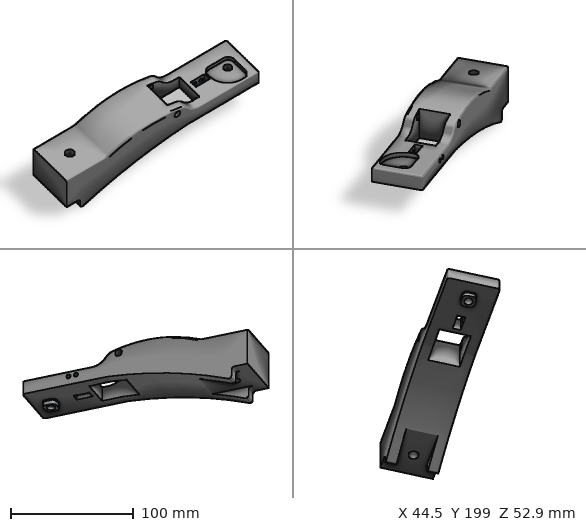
import cadquery as cq
import math

LENGTH = 199.0
WIDTH = 44.5
SHELF_TOP = 38.2
SHELF_BOTTOM = 25.5
REAR_TOP = 43.0
EDGE_ROUND = 2.0

HUMP_TOP = 53.1
HUMP_Y = 89.0
HUMP_RADIUS = 115.5
HUMP_END_ANGLE = math.radians(15.4)
SHOULDER_RADIUS = 11.0
SHELF_BLEND = 15.1
REAR_BLEND = 10.0

BELLY_START_Y = 124.4
BELLY_RADIUS = 358.2
LEG_BACK_Y = 14.1
LEG_SHARP_Z = -1.0
LEG_ROUND = 2.4
NOTCH_ROUND = 3.0
BLOCK_BOTTOM = 10.5
CHANNEL_WIDTH = 26.7
CHANNEL_END_Y = 79.6

WINDOW_WIDTH = 26.7
WINDOW_START_Y = 110.6
WINDOW_END_Y = 143.7
SLOT_WIDTH = 6.8
SLOT_START_Y = 147.9
SLOT_END_Y = 161.8

POCKET_LEFT_X = -7.5
POCKET_START_Y = 163.4
POCKET_SIDE = 27.3
POCKET_CORNER = 6.0
POCKET_LARGE_CORNER = 19.0
POCKET_DEPTH = 4.0

BOSS_Y = 183.0
BOSS_COLLAR_SIDE = 12.3
BOSS_COLLAR_HEIGHT = 1.0
BOSS_SIDE = 11.7
BOSS_CORNER = 3.8
BOSS_HEIGHT = 4.8
BOSS_HOLE = 7.2

REAR_HOLE = 8.2
REAR_HOLE_Y = 20.5
PIVOT_HOLE = 6.0
PIVOT_Y = 114.0
PIVOT_Z = 45.5
PIN_HOLE = 3.5
PIN_YS = (151.6, 158.2)
PIN_Z = 33.2
PIN_DEPTH = 29.8

TALL = 2 * HUMP_TOP


def on_circle(center, radius, angle):
    """Point on a circle, with the angle measured from +Z towards +Y."""
    return (center[0] + radius * math.sin(angle), center[1] + radius * math.cos(angle))


def round_cross_edge(body, y, z, radius):
    """Round the edge that runs across the body at the given place."""
    edge = body.edges(cq.selectors.NearestToPointSelector((0, y, z)))
    return edge.fillet(radius)


def make_body():
    hump = (HUMP_Y, HUMP_TOP - HUMP_RADIUS)

    rear_z = REAR_TOP + REAR_BLEND
    rear_reach = HUMP_RADIUS + REAR_BLEND
    rear_angle = -math.acos((rear_z - hump[1]) / rear_reach)
    rear = on_circle(hump, rear_reach, rear_angle)

    shoulder = on_circle(hump, HUMP_RADIUS - SHOULDER_RADIUS, HUMP_END_ANGLE)
    blend_z = SHELF_TOP + SHELF_BLEND
    blend_reach = SHOULDER_RADIUS + SHELF_BLEND
    slope = math.acos((blend_z - shoulder[1]) / blend_reach)
    blend = on_circle(shoulder, blend_reach, slope)

    profile = (
        cq.Workplane("YZ")
        .moveTo(0, BLOCK_BOTTOM)
        .lineTo(0, REAR_TOP)
        .lineTo(rear[0], REAR_TOP)
        .threePointArc(
            on_circle(rear, REAR_BLEND, math.pi + rear_angle / 2),
            on_circle(hump, HUMP_RADIUS, rear_angle),
        )
        .threePointArc((HUMP_Y, HUMP_TOP), on_circle(hump, HUMP_RADIUS, HUMP_END_ANGLE))
        .threePointArc(
            on_circle(shoulder, SHOULDER_RADIUS, (HUMP_END_ANGLE + slope) / 2),
            on_circle(shoulder, SHOULDER_RADIUS, slope),
        )
        .threePointArc(
            on_circle(blend, SHELF_BLEND, math.pi + slope / 2),
            (blend[0], SHELF_TOP),
        )
        .lineTo(LENGTH, SHELF_TOP)
        .lineTo(LENGTH, SHELF_BOTTOM)
        .lineTo(BELLY_START_Y, SHELF_BOTTOM)
        .radiusArc((LEG_BACK_Y, LEG_SHARP_Z), -BELLY_RADIUS)
        .lineTo(LEG_BACK_Y, BLOCK_BOTTOM)
        .close()
    )
    body = profile.extrude(WIDTH / 2, both=True)
    body = round_cross_edge(body, LEG_BACK_Y, LEG_SHARP_Z, LEG_ROUND)
    body = round_cross_edge(body, LEG_BACK_Y, BLOCK_BOTTOM, NOTCH_ROUND)

    side_edges = body.faces("<X or >X").edges().filter(
        lambda edge: edge.Center().z > SHELF_TOP - EDGE_ROUND and edge.Center().y > EDGE_ROUND
    )
    end_edges = body.faces(">Y").edges("|Z or >Z")
    return body.newObject(side_edges.add(end_edges).vals()).fillet(EDGE_ROUND)


def box(width, start_y, end_y, bottom, top):
    """Block centred on X, spanning the given ranges along Y and Z."""
    outline = cq.Workplane("XY", origin=(0, (start_y + end_y) / 2, bottom)).rect(width, end_y - start_y)
    return outline.extrude(top - bottom)


def make_pocket():
    left = POCKET_LEFT_X
    low = POCKET_START_Y
    right = left + POCKET_SIDE
    high = low + POCKET_SIDE
    pocket = (
        cq.Workplane("XY", origin=(0, 0, SHELF_TOP - POCKET_DEPTH))
        .moveTo(left + POCKET_CORNER, low)
        .lineTo(right - POCKET_LARGE_CORNER, low)
        .radiusArc((right, low + POCKET_LARGE_CORNER), -POCKET_LARGE_CORNER)
        .lineTo(right, high - POCKET_CORNER)
        .radiusArc((right - POCKET_CORNER, high), -POCKET_CORNER)
        .lineTo(left + POCKET_CORNER, high)
        .radiusArc((left, high - POCKET_CORNER), -POCKET_CORNER)
        .lineTo(left, low + POCKET_CORNER)
        .radiusArc((left + POCKET_CORNER, low), -POCKET_CORNER)
        .close()
    )
    return pocket.extrude(2 * POCKET_DEPTH)


def boss_block(side, height):
    block = box(side, BOSS_Y - side / 2, BOSS_Y + side / 2, SHELF_BOTTOM - height, SHELF_BOTTOM)
    return block.edges("|Z").fillet(BOSS_CORNER)


def make_boss():
    collar = boss_block(BOSS_COLLAR_SIDE, BOSS_COLLAR_HEIGHT)
    return collar.union(boss_block(BOSS_SIDE, BOSS_HEIGHT))


def upright_hole(diameter, y):
    return cq.Workplane("XY").center(0, y).circle(diameter / 2).extrude(TALL)


def cross_hole(diameter, y, z, depth):
    return cq.Workplane("YZ", origin=(-WIDTH / 2, 0, 0)).center(y, z).circle(diameter / 2).extrude(depth)


result = make_body().union(make_boss())
result = result.cut(box(CHANNEL_WIDTH, 0, CHANNEL_END_Y, -TALL, BLOCK_BOTTOM))
result = result.cut(box(WINDOW_WIDTH, WINDOW_START_Y, WINDOW_END_Y, 0, TALL))
result = result.cut(box(SLOT_WIDTH, SLOT_START_Y, SLOT_END_Y, 0, TALL))
result = result.cut(make_pocket())
result = result.cut(upright_hole(BOSS_HOLE, BOSS_Y))
result = result.cut(upright_hole(REAR_HOLE, REAR_HOLE_Y))
result = result.cut(cross_hole(PIVOT_HOLE, PIVOT_Y, PIVOT_Z, WIDTH))
for pin_y in PIN_YS:
    result = result.cut(cross_hole(PIN_HOLE, pin_y, PIN_Z, PIN_DEPTH))